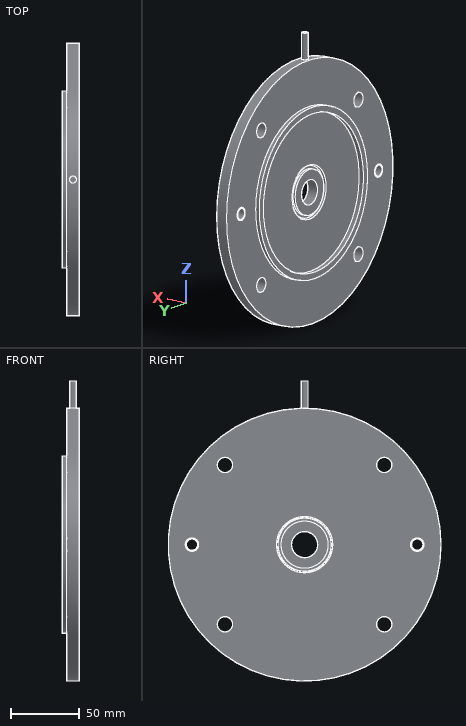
import cadquery as cq
import math

plate_diameter = 200.0
plate_thickness = 9.2
total_thickness = 12.5
lip_outer_diameter = 130.0
lip_inner_diameter = 120.0
recess_depth = 4.0
recess_floor_x = recess_depth - total_thickness

bolt_circle_radius = 82.5
mounting_hole_diameter = 11.0
mounting_hole_count = 4
insert_outer_diameter = 10.0
insert_bore_diameter = 8.1
insert_angles = (0, 180)

opening_diameter = 41.0
sleeve_outer_diameter = 39.1
core_diameter = 34.5
bore_diameter = 19.0
core_front_x = -9.0
sleeve_setback = 2.0
sleeve_front_x = core_front_x + sleeve_setback

cable_diameter = 5.0
overall_height = 220
top_above_axis = overall_height - plate_diameter / 2


def cylinder(diameter, front_x, back_x, y=0, z=0):
    """Cylinder along X between two X positions."""
    return (
        cq.Workplane("YZ", origin=(front_x, 0, 0))
        .center(y, z)
        .circle(diameter / 2)
        .extrude(back_x - front_x)
    )


def tube(outer_diameter, inner_diameter, front_x, back_x, y=0, z=0):
    """Round tube along X between two X positions."""
    outside = cylinder(outer_diameter, front_x, back_x, y, z)
    return outside.cut(cylinder(inner_diameter, front_x, back_x, y, z))


def bolt_circle_point(angle):
    """Y and Z of a bolt circle position, with the angle in degrees from +Y."""
    radians = math.radians(angle)
    return bolt_circle_radius * math.cos(radians), bolt_circle_radius * math.sin(radians)


def make_plate():
    """Disc with a raised lip, a central opening and bolt circle holes."""
    plate = cylinder(plate_diameter, -plate_thickness, 0)
    plate = plate.union(cylinder(lip_outer_diameter, -total_thickness, 0))
    plate = plate.cut(cylinder(lip_inner_diameter, -total_thickness, recess_floor_x))
    plate = plate.cut(cylinder(opening_diameter, -total_thickness, 0))
    for index in range(mounting_hole_count):
        y, z = bolt_circle_point((index + 0.5) * 360 / mounting_hole_count)
        plate = plate.cut(cylinder(mounting_hole_diameter, -plate_thickness, 0, y, z))
    for angle in insert_angles:
        y, z = bolt_circle_point(angle)
        plate = plate.cut(cylinder(insert_outer_diameter, -plate_thickness, 0, y, z))
    return plate


def make_insert(angle):
    """Thin bushing lining one of the two side holes."""
    y, z = bolt_circle_point(angle)
    return tube(insert_outer_diameter, insert_bore_diameter, -plate_thickness, 0, y, z)


def make_cable():
    """Round cable whose lower end follows the plate's rim."""
    rod = (
        cq.Workplane("XY", origin=(-plate_thickness / 2, 0, 0))
        .circle(cable_diameter / 2)
        .extrude(top_above_axis)
    )
    return rod.cut(cylinder(plate_diameter, -plate_thickness, 0))


plate = make_plate()
hub_sleeve = tube(sleeve_outer_diameter, core_diameter, sleeve_front_x, 0)
hub_core = tube(core_diameter, bore_diameter, core_front_x, 0)
cable = make_cable()
inserts = [make_insert(angle) for angle in insert_angles]

result = cq.Compound.makeCompound(
    [
        plate.val(),
        hub_sleeve.val(),
        hub_core.val(),
        cable.val(),
        *[insert.val() for insert in inserts],
    ]
)